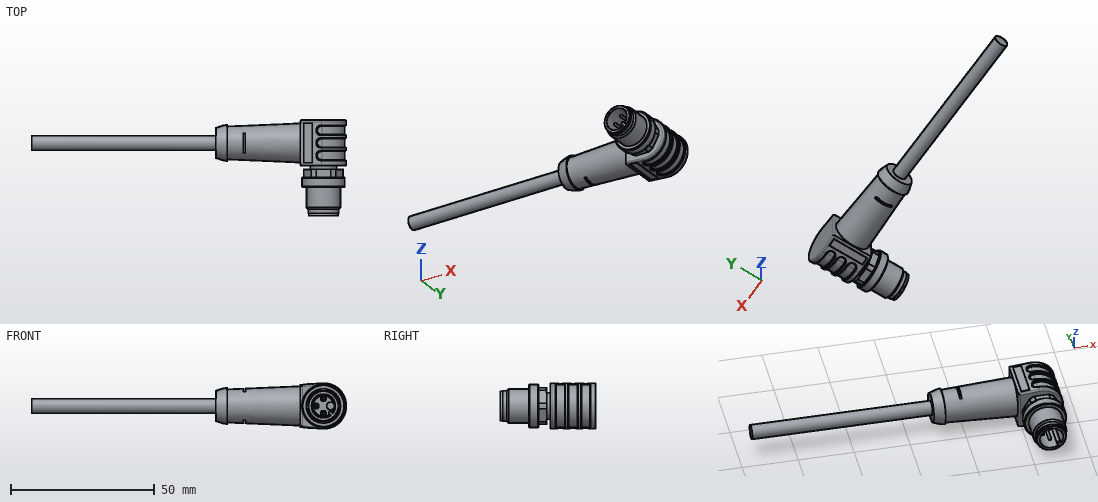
import cadquery as cq
import math


head_radius = 8.0
head_left = -8.0
head_depth = 2 * head_radius
head_front = -head_depth / 2
flank_taper = math.radians(5)
head_edge_radius = 0.5

groove_depth = 0.5
groove_width = 3.5
groove_floor_chamfer = 0.3
groove_pitch = 4.4
groove_count = 3
groove_start = -2.5

label_left = -6.8
label_right = -3.8
label_width = 13.8
label_height = 0.1

overall_length = 109.7
cable_end = head_radius - overall_length
cable_diameter = 5.2
boot_tip = -37.5
boot_tip_diameter = 10.5
collar_end = -33.6
collar_diameter = 12.7
collar_bulge = 0.16
boot_small_diameter = 11.6
boot_large_diameter = 13.8

notch_center = -27.5
notch_width = 0.7
notch_floor = 5.0

neck_diameter = 9.3
hex_start = -9.2
hex_flats = 12.8
hex_turn = 30
hex_round_diameter = 13.8
ring_start = -12.0
ring_end = -15.5
ring_diameter = 15.0
ring_chamfer = 0.3
barrel_end = -22.5
barrel_diameter = 12.0
barrel_cone_end = -23.0
land_end = -24.5
land_diameter = 10.7
plug_end = -25.4
lip_diameter = 10.3

bore_diameter = 8.3
bore_floor_chamfer = 0.5
bore_floor = -15.4
seat_diameter = 2.7
seat_depth = 0.5
contact_circle_radius = 2.5
empty_seat_angle = 0
pin_angles = (90, 180, 270)
pin_diameter = 1.0
pin_tip = -23.0
pin_tip_radius = 0.4
key_angle = -45
key_width = 1.1
key_nose_center = 3.4


def head_prism(radius):
    """Round-ended prism whose flanks leave the arc at the taper angle."""
    tangent_x = -radius * math.sin(flank_taper)
    tangent_z = radius * math.cos(flank_taper)
    left_z = tangent_z - (tangent_x - head_left) * math.tan(flank_taper)
    return (
        cq.Workplane("XZ", origin=(0, head_depth / 2, 0))
        .moveTo(head_left, -left_z)
        .lineTo(tangent_x, -tangent_z)
        .threePointArc((radius, 0), (tangent_x, tangent_z))
        .lineTo(head_left, left_z)
        .close()
        .extrude(head_depth)
    )


def y_cylinder(diameter, start, end, x=0, z=0):
    """Cylinder along -Y from start to end."""
    return cq.Workplane("XZ", origin=(x, start, z)).circle(diameter / 2).extrude(start - end)


def y_cone(start_diameter, end_diameter, start, end, x=0, z=0):
    """Truncated cone along -Y from start to end."""
    base = cq.Vector(x, start, z)
    return cq.Workplane(
        cq.Solid.makeCone(start_diameter / 2, end_diameter / 2, start - end, base, cq.Vector(0, -1, 0))
    )


def contact_position(angle):
    """X and Z of a contact around the plug axis, the angle counted from +X."""
    turn = math.radians(angle)
    x = contact_circle_radius * math.cos(turn)
    z = contact_circle_radius * math.sin(turn)
    return x, z


def make_head():
    block = head_prism(head_radius)
    head = block.faces("<Y or >Y").edges().fillet(head_edge_radius)

    groove_length = 2 * head_radius
    grooves = (
        cq.Workplane("XY", origin=(groove_start + groove_length / 2, 0, -head_radius))
        .rarray(1.1, groove_pitch, 1, groove_count)
        .slot2D(groove_length, groove_width)
        .extrude(2 * head_radius)
        .cut(head_prism(head_radius - groove_depth))
    )
    floor_edges = cq.selectors.BoxSelector(
        (-head_radius, -head_radius, groove_depth - head_radius),
        (head_radius, head_radius, head_radius - groove_depth),
    )
    grooves = grooves.edges(floor_edges).chamfer(groove_floor_chamfer)
    label = (
        cq.Workplane("XY", origin=((label_left + label_right) / 2, 0, -head_radius))
        .rect(label_right - label_left, label_width)
        .extrude(2 * head_radius)
        .intersect(head_prism(head_radius + label_height))
    )
    return head.cut(grooves).union(label)


def make_boot():
    boot = (
        cq.Workplane("XZ")
        .moveTo(boot_tip, 0)
        .lineTo(boot_tip, boot_tip_diameter / 2)
        .threePointArc(
            (
                (boot_tip + collar_end) / 2,
                (boot_tip_diameter + collar_diameter) / 4 + collar_bulge,
            ),
            (collar_end, collar_diameter / 2),
        )
        .lineTo(collar_end, boot_small_diameter / 2)
        .lineTo(head_left, boot_large_diameter / 2)
        .lineTo(head_left, 0)
        .close()
        .revolve(360, (0, 0, 0), (1, 0, 0))
    )
    notch_height = collar_diameter / 2 - notch_floor
    for side in (-1, 1):
        notch_z = side * (notch_floor + notch_height / 2)
        notch = cq.Workplane("XY", origin=(notch_center, 0, notch_z))
        boot = boot.cut(notch.box(notch_width, collar_diameter, notch_height))
    return boot


def make_plug():
    hexagon = (
        cq.Workplane("XZ", origin=(0, hex_start, 0))
        .transformed(rotate=(0, 0, hex_turn))
        .polygon(6, hex_flats, circumscribed=True)
        .extrude(hex_start - ring_start)
        .intersect(y_cylinder(hex_round_diameter, hex_start, ring_start))
    )
    ring = y_cylinder(ring_diameter, ring_start, ring_end).edges().chamfer(ring_chamfer)
    barrel_cone = y_cone(barrel_diameter, land_diameter, barrel_end, barrel_cone_end)
    bore = y_cylinder(bore_diameter, bore_floor, plug_end)
    plug = (
        y_cylinder(neck_diameter, head_front, hex_start)
        .union(hexagon)
        .union(ring)
        .union(y_cylinder(barrel_diameter, ring_end, barrel_end))
        .union(barrel_cone)
        .union(y_cylinder(land_diameter, barrel_cone_end, land_end))
        .union(y_cylinder(lip_diameter, land_end, plug_end))
        .cut(bore.faces(">Y").chamfer(bore_floor_chamfer))
    )
    seat_bottom = bore_floor + seat_depth
    seat_top = bore_floor - bore_floor_chamfer
    empty_x, empty_z = contact_position(empty_seat_angle)
    plug = plug.cut(y_cylinder(seat_diameter, seat_bottom, seat_top, empty_x, empty_z))
    for angle in pin_angles:
        x, z = contact_position(angle)
        plug = plug.cut(y_cone(pin_diameter, seat_diameter, seat_bottom, seat_top, x, z))
        pin = y_cylinder(pin_diameter, seat_bottom, pin_tip, x, z)
        plug = plug.union(pin.faces("<Y").edges().fillet(pin_tip_radius))
    return plug.union(make_key())


def make_key():
    """Round-nosed key along the bore wall."""
    wall_radius = (bore_diameter + lip_diameter) / 4
    key_length = wall_radius - key_nose_center
    bar = (
        cq.Workplane("XZ", origin=(0, bore_floor, 0))
        .center(key_nose_center + key_length / 2, 0)
        .rect(key_length, key_width)
        .extrude(bore_floor - plug_end)
    )
    nose = y_cylinder(key_width, bore_floor, plug_end, key_nose_center)
    return bar.union(nose).rotate((0, 0, 0), (0, 1, 0), -key_angle)


def make_cable():
    end_plane = cq.Workplane("YZ", origin=(cable_end, 0, 0))
    return end_plane.circle(cable_diameter / 2).extrude(boot_tip - cable_end)


result = make_head().union(make_boot()).union(make_cable()).union(make_plug())